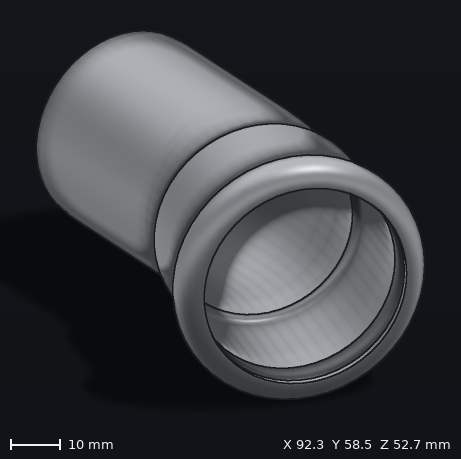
import cadquery as cq
import math


overall_length = 92.35

tube_outer_r = 42.0 / 2
tube_inner_r = 39.0 / 2
wall = tube_outer_r - tube_inner_r
bend_angle = 15
bend_radius = 50.2
taper_length = 2.9
taper_inset = 0.3

socket_outer_r = 45.4 / 2
socket_inner_r = socket_outer_r - wall
socket_length = 34.9
shoulder_x = -30.0
shoulder_radius = socket_outer_r - tube_inner_r

bead_width = 9.2
bead_outer_r = 52.7 / 2
mouth_r = 42.7 / 2

bend_reach = bend_radius * math.sin(math.radians(bend_angle))
end_corner_reach = (tube_outer_r - taper_inset) * math.sin(math.radians(bend_angle))
spigot_reach = overall_length - socket_length - bend_reach - end_corner_reach
spigot_length = spigot_reach / math.cos(math.radians(bend_angle))


def other_leg(radius, leg):
    """Return the other leg of the right triangle with the given hypotenuse and leg."""
    return math.sqrt(radius**2 - leg**2)


def make_socket():
    """Revolve the formed sheet wall of the socket, from the bend to the mouth."""
    bead_radius = bead_width / 2
    groove_radius = bead_radius - wall
    bead_x = -bead_radius
    bead_center_r = bead_outer_r - bead_radius
    groove_half_width = other_leg(groove_radius, bead_center_r - socket_inner_r)
    lip_x = bead_x + other_leg(groove_radius, bead_center_r - mouth_r)
    bead_back_x = bead_x - other_leg(bead_radius, socket_outer_r - bead_center_r)

    shoulder_center_r = tube_inner_r
    shoulder_end_x = shoulder_x - other_leg(shoulder_radius, tube_outer_r - shoulder_center_r)
    inner_shoulder_radius = shoulder_radius - wall
    diagonal = math.sqrt(0.5)
    shoulder_start_angle = math.asin((tube_outer_r - shoulder_center_r) / shoulder_radius)
    shoulder_mid_angle = (shoulder_start_angle + math.pi / 2) / 2

    profile = (
        cq.Workplane("XY")
        .moveTo(-socket_length, tube_inner_r)
        .lineTo(-socket_length, tube_outer_r)
        .lineTo(shoulder_end_x, tube_outer_r)
        .threePointArc(
            (
                shoulder_x - shoulder_radius * math.cos(shoulder_mid_angle),
                shoulder_center_r + shoulder_radius * math.sin(shoulder_mid_angle),
            ),
            (shoulder_x, socket_outer_r),
        )
        .lineTo(bead_back_x, socket_outer_r)
        .threePointArc((bead_x, bead_outer_r), (0, bead_center_r))
        .lineTo(0, mouth_r)
        .lineTo(lip_x, mouth_r)
        .threePointArc(
            (bead_x, bead_center_r + groove_radius),
            (bead_x - groove_half_width, socket_inner_r),
        )
        .lineTo(shoulder_x, socket_inner_r)
        .threePointArc(
            (
                shoulder_x - inner_shoulder_radius * diagonal,
                shoulder_center_r + inner_shoulder_radius * diagonal,
            ),
            (shoulder_x - inner_shoulder_radius, tube_inner_r),
        )
        .close()
    )
    return profile.revolve(360, (0, 0, 0), (1, 0, 0))


def make_bend():
    """Sweep the tube ring about a vertical axis on the -Y side of the socket."""
    ring = (
        cq.Workplane("YZ", origin=(-socket_length, 0, 0))
        .circle(tube_outer_r)
        .circle(tube_inner_r)
    )
    return ring.revolve(bend_angle, (-bend_radius, 0, 0), (-bend_radius, 1, 0))


def make_spigot():
    """Straight tube with its free end tapered slightly inwards, turned to meet the bend."""
    start_x = -socket_length
    end_x = start_x - spigot_length
    taper_x = end_x + taper_length
    spigot = (
        cq.Workplane("XY")
        .moveTo(start_x, tube_inner_r)
        .lineTo(start_x, tube_outer_r)
        .lineTo(taper_x, tube_outer_r)
        .lineTo(end_x, tube_outer_r - taper_inset)
        .lineTo(end_x, tube_inner_r - taper_inset)
        .lineTo(taper_x, tube_inner_r)
        .close()
        .revolve(360, (0, 0, 0), (1, 0, 0))
    )
    bend_center = (-socket_length, -bend_radius, 0)
    bend_axis_end = (-socket_length, -bend_radius, 1)
    return spigot.rotate(bend_center, bend_axis_end, bend_angle)


result = make_socket().union(make_bend()).union(make_spigot())